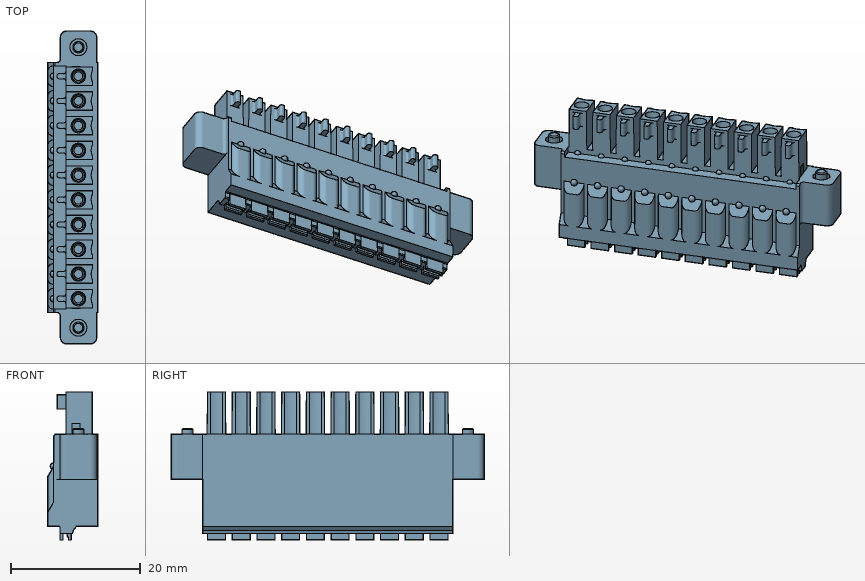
import cadquery as cq


pole_count = 10
pitch = 3.8
pole_places = [(i - (pole_count - 1) / 2) * pitch for i in range(pole_count)]

length = 48.3
body_length = 38.65
body_depth = 7.75
total_height = 22.9
body_top = 16.35
body_bottom = 2.12
upper_front = 0.9
front_chamfer = 0.25
front_chamfer_drop = 0.35

foot_top = 4.3
slope_rise = 1.6

keel_bottom = 1.0
keel_front = 1.95
keel_front_flare = 0.15
keel_lip_chamfer = 0.15
keel_back_bottom = 3.8
keel_back_knee = 3.95
keel_back_top = 4.45
keel_knee_height = 0.5
pin_width = 2.8
front_pin_front = 1.9
front_pin_back = 2.35
front_pin_flare = 0.1
back_pin_front = 3.2
back_pin_back = 3.65
back_pin_root_front = 3.0
back_pin_root = 0.7
back_pin_blade = 0.35
back_pin_chamfer = 0.1

ledge_depth_z = 0.85
ledge_length = 37.45
ledge_floor = body_top - ledge_depth_z

column_front = 2.8
column_back = 6.9
column_top_width = 2.8
column_foot_width = 2.9
groove_radius = 2.25
groove_sag = 0.2
axis_x = 4.75
bore_mouth_radius = 1.1
bore_foot_radius = 0.9
bore_floor_radius = 0.7
bore_depth = 1.4
bore_floor_slope = 0.25

pad_front = 3.75
pad_back = 4.95
pad_top = 17.95
pad_side = 18.65
pad_thickness = 0.5

key_front = 1.45
key_tip_width = 0.15
key_nose_radius = 0.35
key_root_radius = 0.35
key_top = 22.45
key_height = 2.2

rib_width = 3.25
rib_top = 11.4
rib_dot_radius = 0.55
ledge_dot_radius = 0.5

flange_front = 1.95
flange_back = 7.6
flange_bottom = 9.35
flange_corner = 1.0
flange_root = 0.5
screw_radius = 0.85
screw_top = 17.25
screw_chamfer = 0.2
recess_radius = 1.3
flange_axis_y = 21.65
recess_depth = 0.95


def box(x0, x1, y0, y1, z0, z1):
    """Box between two opposite corners."""
    return cq.Workplane("XY").box(x1 - x0, y1 - y0, z1 - z0, centered=False).translate((x0, y0, z0))


def along_row(points, width):
    """Extrude an XZ outline symmetrically about Y = 0."""
    return cq.Workplane("XZ").polyline(points).close().extrude(width / 2, both=True)


def make_body():
    """Long housing with a sloped foot at the front, and a keel below."""
    outline = [
        (0, body_bottom),
        (keel_front - keel_front_flare, body_bottom),
        (keel_front, body_bottom - keel_front_flare),
        (keel_front, keel_bottom + keel_lip_chamfer),
        (keel_front + keel_lip_chamfer, keel_bottom),
        (keel_back_bottom, keel_bottom),
        (keel_back_knee, keel_bottom + keel_knee_height),
        (keel_back_top, body_bottom),
        (body_depth, body_bottom),
        (body_depth, body_top),
        (upper_front + front_chamfer, body_top),
        (upper_front, body_top - front_chamfer_drop),
        (upper_front, foot_top + slope_rise),
        (0, foot_top),
    ]
    return along_row(outline, body_length)


def make_flanges():
    """Plate through both ends, with rounded corners and filleted roots at the front."""
    half = length / 2
    plate = box(flange_front, flange_back, -half, half, flange_bottom, body_top)
    plate = plate.edges("|Z").fillet(flange_corner)
    for side in (-1, 1):
        wall = side * body_length / 2
        root = (
            cq.Workplane("XY", origin=(0, 0, flange_bottom))
            .moveTo(flange_front, wall)
            .lineTo(flange_front, wall + side * flange_root)
            .radiusArc((flange_front - flange_root, wall), side * flange_root)
            .close()
            .extrude(body_top - flange_bottom)
        )
        plate = plate.union(root)
    return plate


def make_screw(y):
    """Screw tip standing in the flange recess."""
    base = body_top - recess_depth
    screw = cq.Workplane("XY", origin=(axis_x, y, base)).circle(screw_radius).extrude(screw_top - base)
    return screw.faces(">Z").chamfer(screw_chamfer)


def make_column(y):
    """Tapered column with a shallow round groove down its back and a tapered bore."""
    depth = column_back - column_front
    height = total_height - ledge_floor
    foot = column_foot_width / 2
    top = column_top_width / 2
    column = (
        cq.Workplane("YZ", origin=(column_front, y, ledge_floor))
        .polyline([(-foot, 0), (foot, 0), (top, height), (-top, height)])
        .close()
        .extrude(depth)
    )
    groove = (
        cq.Workplane("XY", origin=(column_back - groove_sag + groove_radius, y, body_top))
        .circle(groove_radius)
        .extrude(height)
    )
    bore_profile = [
        (0, 0),
        (bore_mouth_radius, 0),
        (bore_foot_radius, bore_floor_slope - bore_depth),
        (bore_floor_radius, -bore_depth),
        (0, -bore_depth),
    ]
    bore = (
        cq.Workplane("XZ", origin=(axis_x, y, total_height))
        .polyline(bore_profile)
        .close()
        .revolve(360, (0, 0, 0), (0, 1, 0))
    )
    return column.cut(groove).cut(bore)


def make_key(y):
    """Coding key: rounded nose, straight flanks and filleted roots on the column."""
    tip = key_tip_width / 2
    flank = tip + key_nose_radius
    foot = flank + key_root_radius
    tip_x = key_front - column_front
    shoulder_x = tip_x + key_nose_radius
    root_x = -key_root_radius
    return (
        cq.Workplane("XY", origin=(column_front, y, key_top - key_height))
        .moveTo(0, foot)
        .radiusArc((root_x, flank), key_root_radius)
        .lineTo(shoulder_x, flank)
        .radiusArc((tip_x, tip), -key_nose_radius)
        .lineTo(tip_x, -tip)
        .radiusArc((shoulder_x, -flank), -key_nose_radius)
        .lineTo(root_x, -flank)
        .radiusArc((0, -foot), key_root_radius)
        .close()
        .extrude(key_height)
    )


def make_rib(y):
    """Round-edged rib on the front of the body, cut off by a slope at the top."""
    flat = rib_width / 2 - upper_front
    rib = (
        cq.Workplane("XY", origin=(0, y, foot_top))
        .moveTo(upper_front, -rib_width / 2)
        .radiusArc((0, -flat), upper_front)
        .lineTo(0, flat)
        .radiusArc((upper_front, rib_width / 2), upper_front)
        .close()
        .extrude(rib_top - foot_top)
    )
    slope = [(0, rib_top), (0, rib_top - slope_rise), (upper_front, rib_top)]
    return rib.cut(along_row(slope, length))


def make_dot(radius, x, y, z):
    """Round marker half sunk into the surface."""
    return cq.Workplane("XY").sphere(radius).translate((x, y, z))


def make_pins(y):
    """Pair of contact plates: the front one rises to the body, the back one hangs from the keel."""
    front_outline = [
        (front_pin_front, 0),
        (front_pin_back, 0),
        (front_pin_back, body_bottom),
        (front_pin_front - front_pin_flare, body_bottom),
        (front_pin_front, body_bottom - front_pin_flare),
    ]
    back_outline = [
        (back_pin_front, 0),
        (back_pin_back - back_pin_chamfer, 0),
        (back_pin_back, back_pin_chamfer),
        (back_pin_back, keel_bottom),
        (back_pin_root_front, keel_bottom),
        (back_pin_root_front, back_pin_root),
        (back_pin_front, back_pin_blade),
    ]
    front = along_row(front_outline, pin_width)
    back = along_row(back_outline, pin_width)
    return front.add(back).translate((0, y, 0))


ledge = box(0, column_front, -ledge_length / 2, ledge_length / 2, ledge_floor, body_top)
result = make_body().union(make_flanges()).cut(ledge)

for side in (-1, 1):
    flange_y = side * flange_axis_y
    recess = (
        cq.Workplane("XY", origin=(axis_x, flange_y, body_top))
        .circle(recess_radius)
        .extrude(-recess_depth)
    )
    result = result.cut(recess).union(make_screw(flange_y))

    pad_y = side * (pad_side - pad_thickness / 2)
    pad = box(pad_front, pad_back, pad_y - pad_thickness / 2, pad_y + pad_thickness / 2, body_top, pad_top)
    result = result.union(pad)

for y in pole_places:
    result = result.union(make_column(y))
    result = result.union(make_key(y))
    result = result.union(make_rib(y))
    result = result.union(make_dot(rib_dot_radius, upper_front, y, rib_top))
    result = result.union(make_dot(ledge_dot_radius, column_front, y, ledge_floor))
    result = result.union(make_pins(y))